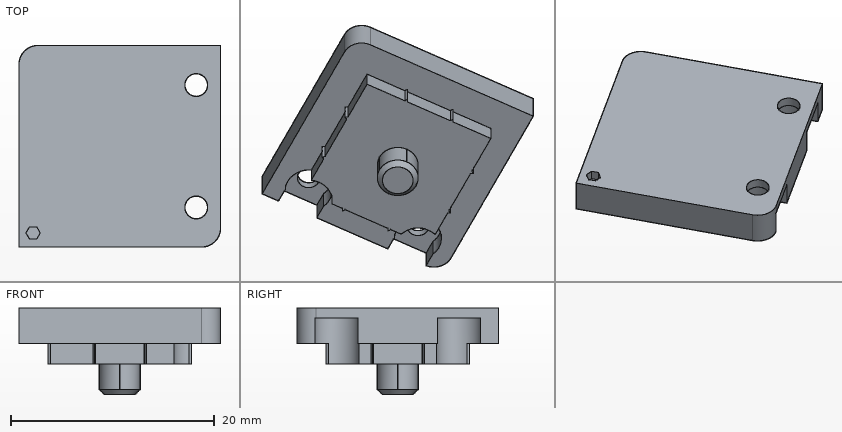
import cadquery as cq
import math

PLATE_SIDE = 19.8
PLATE_THICKNESS = 3.5
PLATE_CORNER_RADIUS = 1.9

PLUG_SIDE = 13.6
PLUG_HEIGHT = 2.0
PLUG_RIB_HEIGHT = 0.25
PLUG_RIB_SPACING = 5.0

RIB_EMBED = 0.1
RIB_HALF_ANGLE = 30

POST_DIAMETER = 4.0
POST_HEIGHT = 3.0
POST_CHAMFER = 0.5
POST_RIB_HEIGHT = 0.05

SCREW_HOLE_DIAMETER = 2.2
SCREW_X = 7.5
SCREW_SPACING = 12.0
SCREW_SEAT_THICKNESS = 1.0
RECESS_DIAMETER = 4.6
CHANNEL_WIDTH = 4.2

DIMPLE_ACROSS_CORNERS = 1.4
DIMPLE_EDGE_DISTANCE = 1.4
DIMPLE_DEPTH = 1.0

PLUG_TOP = -PLATE_THICKNESS
PLUG_BOTTOM = PLUG_TOP - PLUG_HEIGHT
SCREW_POSITIONS = [(SCREW_X, side * SCREW_SPACING / 2) for side in (-1, 1)]


def make_plate():
    """Square plate with two opposite corners rounded."""
    plate = cq.Workplane("XY").rect(PLATE_SIDE, PLATE_SIDE).extrude(-PLATE_THICKNESS)
    half_side = PLATE_SIDE / 2
    for x, y in ((-half_side, half_side), (half_side, -half_side)):
        corner = cq.selectors.NearestToPointSelector((x, y, -PLATE_THICKNESS / 2))
        plate = plate.edges("|Z").edges(corner).fillet(PLATE_CORNER_RADIUS)
    return plate


def make_rib(x, face_y, top_z, rib_height, length):
    """Vertical rib on a face toward -Y; its section is the tip of an equilateral triangle."""
    half_base = (rib_height + RIB_EMBED) * math.tan(math.radians(RIB_HALF_ANGLE))
    return (
        cq.Workplane("XY", origin=(x, face_y, top_z))
        .moveTo(0, -rib_height)
        .lineTo(half_base, RIB_EMBED)
        .lineTo(-half_base, RIB_EMBED)
        .close()
        .extrude(-length)
    )


def add_on_four_sides(body, feature):
    """Join a feature to a body four times, a quarter turn apart around Z."""
    for quarter_turn in range(4):
        body = body.union(feature.rotate((0, 0, 0), (0, 0, 1), 90 * quarter_turn))
    return body


def make_plug():
    """Square plug with two ribs on each of its four sides."""
    plug = cq.Workplane("XY", origin=(0, 0, PLUG_TOP)).rect(PLUG_SIDE, PLUG_SIDE).extrude(-PLUG_HEIGHT)
    for side in (-1, 1):
        rib = make_rib(side * PLUG_RIB_SPACING / 2, -PLUG_SIDE / 2, PLUG_TOP, PLUG_RIB_HEIGHT, PLUG_HEIGHT)
        plug = add_on_four_sides(plug, rib)
    return plug


def make_post():
    """Round post with a chamfered tip and a fine rib at each quarter."""
    post = cq.Workplane("XY", origin=(0, 0, PLUG_BOTTOM)).circle(POST_DIAMETER / 2).extrude(-POST_HEIGHT)
    post = post.faces("<Z").chamfer(POST_CHAMFER)
    rib = make_rib(0, -POST_DIAMETER / 2, PLUG_BOTTOM, POST_RIB_HEIGHT, POST_HEIGHT - POST_CHAMFER)
    return add_on_four_sides(post, rib)


def make_screw_holes():
    """Clearance holes through the screw seats."""
    centers = cq.Workplane("XY").pushPoints(SCREW_POSITIONS)
    return centers.circle(SCREW_HOLE_DIAMETER / 2).extrude(-SCREW_SEAT_THICKNESS)


def make_screw_recess(x, y):
    """Round recess below a screw seat, cut down through the plug, with a channel out of the +X side."""
    seat = cq.Workplane("XY", origin=(x, y, -SCREW_SEAT_THICKNESS))
    depth = -SCREW_SEAT_THICKNESS - PLUG_BOTTOM
    to_edge = PLATE_SIDE / 2 - x
    pocket = seat.circle(RECESS_DIAMETER / 2).extrude(-depth)
    channel = seat.center(to_edge / 2, 0).rect(to_edge, CHANNEL_WIDTH).extrude(-depth)
    return pocket.union(channel)


def make_dimple():
    """Blind hexagonal dimple with two corners on the X direction."""
    center = DIMPLE_EDGE_DISTANCE - PLATE_SIDE / 2
    return cq.Workplane("XY").center(center, center).polygon(6, DIMPLE_ACROSS_CORNERS).extrude(-DIMPLE_DEPTH)


result = make_plate().union(make_plug()).union(make_post())
result = result.cut(make_screw_holes()).cut(make_dimple())
for screw_x, screw_y in SCREW_POSITIONS:
    result = result.cut(make_screw_recess(screw_x, screw_y))